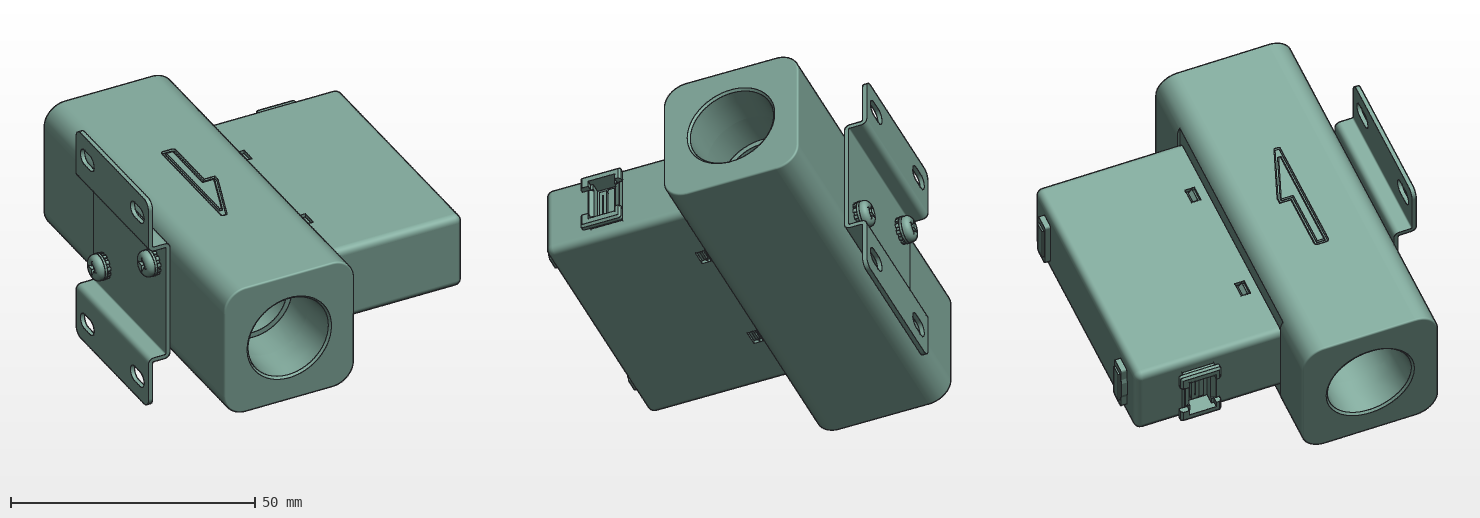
import cadquery as cq
import math

TUBE_LENGTH = 80.0
TUBE_WIDTH = 30.0
TUBE_HEIGHT = 30.2
TUBE_CORNER_RADIUS = 5.0
TUBE_END_ROUNDING = 0.4
TUBE_BACK = TUBE_WIDTH / 2
TUBE_FRONT = -TUBE_WIDTH / 2
TUBE_TOP = TUBE_HEIGHT / 2

BORE_RADIUS = 7.8
PORT_MOUTH_RADIUS = 9.8
PORT_CHAMFER = 0.5
PORT_TAPER_RADIUS = 9.3
PORT_RADIUS = 9.0
PORT_TAPER_DEPTH = 8.8
PORT_DEPTH = 16.0

SEAT_LENGTH = 56.0
SEAT_DEPTH = 0.6

ARROW_HALF_LENGTH = 13.5
ARROW_BOTTOM = -1.8
ARROW_STEM_TOP = 1.4
ARROW_BARB_X = -0.4
ARROW_PEAK_X = 1.0
ARROW_PEAK_Y = 3.9
ARROW_TIP_Y = -0.5
ARROW_ROUNDING = 0.6
ARROW_TIP_ROUNDING = 0.3
ARROW_GROOVE_WIDTH = 0.9
ARROW_ISLAND_TIP_X = 11.3
ARROW_GROOVE_DEPTH = 0.3
ARROW_WALL_SLOPE = 0.2

COVER_LENGTH = 55.0
COVER_HEIGHT = 17.0
COVER_BACK = 46.7
COVER_ROUNDING = 1.5
COVER_FRONT = TUBE_BACK - SEAT_DEPTH

WINDOW_LENGTH = 3.5
WINDOW_WIDTH = 2.1
WINDOW_DEPTH = 0.8
WINDOW_SPACING = 27.0
WINDOW_Y = 17.4
HOOK_LENGTH = 3.0
HOOK_FRONT = 17.0
HOOK_BACK = 17.9

PAD_SPACING = 41.4
PAD_WIDTH = 3.7
PAD_LENGTH = 11.2
PAD_HEIGHT = 1.3
PAD_CORNER_RADIUS = 0.6
PAD_CAP_WIDTH = 2.4
PAD_CAP_LENGTH = 8.2
PAD_TOTAL_HEIGHT = 1.7
PAD_BULGE_WIDTH = 4.2
PAD_BULGE_LENGTH = 5.6
PAD_BULGE_FLAT = 3.7

COVER_LEFT = -COVER_LENGTH / 2
FLANGE_Y = 33.4
SOCKET_Y = 33.0
CONNECTOR_REACH = 2.7
TAIL_DEPTH = 1.6
FLANGE_WIDTH = 9.0
FLANGE_HEIGHT = 13.4
FLANGE_THICKNESS = 1.3
FLANGE_CHAMFER = 0.5
FLANGE_CORNER_RADIUS = 0.6
NECK_WIDTH = 7.0
NECK_HEIGHT = 11.2
SIDE_GAP_HEIGHT = 7.4
LEAD_IN_WIDTH = 6.7
LEAD_IN_DEPTH = 0.5
MOUTH_WIDTH = 5.9
SOCKET_WIDTH = 4.8
SOCKET_HEIGHT = 10.1
SOCKET_DEPTH = 3.7
TONGUE_WIDTH = 1.6
TONGUE_HEIGHT = 6.9
TONGUE_REACH = 1.2
TONGUE_Y = 33.8
TONGUE_SLOT_WIDTH = 0.2
TONGUE_SLOT_HEIGHT = 4.8
TONGUE_SLOT_DEPTH = 0.4
LEDGE_WIDTH = 1.4
LEDGE_HEIGHT = 8.8
LEDGE_REACH = 0.3

BRACKET_WIDTH = 32.0
BRACKET_HEIGHT = 50.0
BRACKET_FRONT = -20.0
SHEET_THICKNESS = 1.0
BEND_INNER_RADIUS = 0.3
BEND_OUTER_RADIUS = BEND_INNER_RADIUS + SHEET_THICKNESS
STEP_INSIDE_Z = 13.0
STEP_OUTSIDE_Z = STEP_INSIDE_Z + SHEET_THICKNESS
BRACKET_CORNER_RADIUS = 2.0
WEB_FRONT = TUBE_FRONT - SHEET_THICKNESS
SLOT_LENGTH = 6.0
SLOT_WIDTH = 3.5
HOLE_X = 11.0
SLOT_Z = 20.0

SCREW_Z = 6.8
HEAD_RADIUS = 2.8
HEAD_HEIGHT = 1.7
HEAD_ROUNDING = 1.2
PLAIN_WASHER_RADIUS = 2.9
PLAIN_WASHER_THICKNESS = 0.6
TOOTHED_WASHER_RADIUS = 2.8
TOOTHED_WASHER_THICKNESS = 0.8
TOOTH_COUNT = 12
TOOTH_GAP = 0.6
TOOTH_DEPTH = 0.5
SHANK_RADIUS = 1.5
SHANK_DEPTH = 4.0
CROSS_TIP_RADIUS = 1.8
CROSS_WAIST_RADIUS = 0.6
CROSS_DEPTH = 1.0
CROSS_FLARE_RADIUS = 1.5
CROSS_FLARE_DEPTH = 0.4
CROSS_POINTS = 4

SCREW_PLACES = [(HOLE_X, SCREW_Z), (-HOLE_X, -SCREW_Z)]


def block(x_range, y_range, z_range):
    """Box between pairs of limits along X, Y and Z."""
    sizes = [high - low for low, high in (x_range, y_range, z_range)]
    middles = [(high + low) / 2 for low, high in (x_range, y_range, z_range)]
    return cq.Workplane("XY").box(*sizes).translate(tuple(middles))


def centred(middle, size):
    """Limits of a length about its middle."""
    return (middle - size / 2, middle + size / 2)


def rod_along_y(radius, x, z, y_front, y_back):
    """Round rod along Y."""
    rod = cq.Workplane("XZ", origin=(x, y_front, z)).circle(radius)
    return rod.extrude(y_front - y_back)


def screw_holes(y_front, y_back):
    """Clearance-free holes for both screw shanks."""
    holes = cq.Workplane("XZ", origin=(0, y_front, 0)).pushPoints(SCREW_PLACES)
    return holes.circle(SHANK_RADIUS).extrude(y_front - y_back)


def port():
    """Chamfered, tapered and stepped port from the -X end to mid-length."""
    end = -TUBE_LENGTH / 2
    outline = [
        (end, 0),
        (end, PORT_MOUTH_RADIUS),
        (end + PORT_CHAMFER, PORT_TAPER_RADIUS),
        (end + PORT_TAPER_DEPTH, PORT_RADIUS),
        (end + PORT_DEPTH, PORT_RADIUS),
        (end + PORT_DEPTH, BORE_RADIUS),
        (0, BORE_RADIUS),
        (0, 0),
    ]
    return cq.Workplane("XY").polyline(outline).close().revolve(360, (0, 0, 0), (1, 0, 0))


def arrow_groove():
    """Half-arrow groove around a flush, blunt-tipped island."""
    outline = [
        (-ARROW_HALF_LENGTH, ARROW_BOTTOM),
        (-ARROW_HALF_LENGTH, ARROW_STEM_TOP),
        (ARROW_BARB_X, ARROW_STEM_TOP),
        (ARROW_BARB_X, ARROW_PEAK_Y),
        (ARROW_PEAK_X, ARROW_PEAK_Y),
        (ARROW_HALF_LENGTH, ARROW_TIP_Y),
        (ARROW_HALF_LENGTH, ARROW_BOTTOM),
    ]
    floor_z = TUBE_TOP - ARROW_GROOVE_DEPTH
    arrow = cq.Workplane("XY", origin=(0, 0, floor_z)).polyline(outline).close()
    pocket = arrow.extrude(ARROW_GROOVE_DEPTH)
    pocket = pocket.edges("|Z and <X").fillet(ARROW_ROUNDING)
    pocket = pocket.edges("|Z and >X").fillet(ARROW_TIP_ROUNDING)
    pocket = pocket.faces("<Z").edges().chamfer(ARROW_WALL_SLOPE)

    foot_offset = ARROW_WALL_SLOPE - ARROW_GROOVE_WIDTH
    arrow = cq.Workplane("XY", origin=(0, 0, floor_z)).polyline(outline).close()
    island = arrow.offset2D(foot_offset, "intersection").extrude(ARROW_GROOVE_DEPTH)
    beyond_tip = block(
        (ARROW_ISLAND_TIP_X, ARROW_HALF_LENGTH),
        (ARROW_BOTTOM, ARROW_PEAK_Y),
        (floor_z, TUBE_TOP),
    )
    island = island.cut(beyond_tip)
    island = island.faces(">Z").edges().chamfer(ARROW_WALL_SLOPE)
    return pocket.cut(island)


def make_tube():
    tube = cq.Workplane("XY").box(TUBE_LENGTH, TUBE_WIDTH, TUBE_HEIGHT)
    tube = tube.edges("|X").fillet(TUBE_CORNER_RADIUS)
    tube = tube.faces("<X or >X").edges().fillet(TUBE_END_ROUNDING)
    tube = tube.cut(port()).cut(port().mirror("YZ"))
    seat = block(
        centred(0, SEAT_LENGTH), (COVER_FRONT, TUBE_BACK), centred(0, TUBE_HEIGHT)
    )
    tube = tube.cut(seat).cut(arrow_groove())
    return tube.cut(screw_holes(TUBE_FRONT, TUBE_FRONT + SHANK_DEPTH))


def snap_window(x):
    """Window in the top of the cover, with a wedge-shaped hook standing in it."""
    top = COVER_HEIGHT / 2
    floor = top - WINDOW_DEPTH
    window = block(centred(x, WINDOW_LENGTH), centred(WINDOW_Y, WINDOW_WIDTH), (floor, top))
    hook = [(HOOK_FRONT, floor), (HOOK_FRONT, top), (HOOK_BACK, floor)]
    hook = cq.Workplane("YZ", origin=(x - HOOK_LENGTH / 2, 0, 0)).polyline(hook).close()
    return window.cut(hook.extrude(HOOK_LENGTH))


def raised_pad(x):
    """Upright pad with a smaller cap, on the back of the cover."""
    base = block(
        centred(x, PAD_WIDTH), (COVER_BACK, COVER_BACK + PAD_HEIGHT), centred(0, PAD_LENGTH)
    )
    base = base.edges("|Y").fillet(PAD_CORNER_RADIUS)
    cap = block(
        centred(x, PAD_CAP_WIDTH),
        (COVER_BACK, COVER_BACK + PAD_TOTAL_HEIGHT),
        centred(0, PAD_CAP_LENGTH),
    )
    return base.union(cap)


def pad_bulge(x):
    """Octagonal widening across the middle of a pad."""
    wide = PAD_BULGE_WIDTH / 2
    narrow = PAD_WIDTH / 2
    long = PAD_BULGE_LENGTH / 2
    short = PAD_BULGE_FLAT / 2
    outline = [
        (wide, short), (narrow, long), (-narrow, long), (-wide, short),
        (-wide, -short), (-narrow, -long), (narrow, -long), (wide, -short),
    ]
    bulge = cq.Workplane("XZ", origin=(x, COVER_BACK, 0)).polyline(outline).close()
    return bulge.extrude(-PAD_HEIGHT)


def connector_neck(outer_face):
    """Connector block from the given outer face to the end of its tail inside the cover."""
    return block(
        (outer_face, COVER_LEFT + TAIL_DEPTH),
        centred(SOCKET_Y, NECK_WIDTH),
        centred(0, NECK_HEIGHT),
    )


def make_cover():
    cover = block(
        centred(0, COVER_LENGTH), (COVER_FRONT, COVER_BACK), centred(0, COVER_HEIGHT)
    )
    cover = cover.edges("|Y or >Y").fillet(COVER_ROUNDING)
    for side in (-1, 1):
        window = snap_window(side * WINDOW_SPACING / 2)
        cover = cover.cut(window).cut(window.mirror("XY"))
        cover = cover.union(raised_pad(side * PAD_SPACING / 2))
    cover = cover.cut(connector_neck(COVER_LEFT))
    return cover.union(pad_bulge(-PAD_SPACING / 2))


def make_connector():
    outer_face = COVER_LEFT - CONNECTOR_REACH
    socket_floor = outer_face + SOCKET_DEPTH
    neck = connector_neck(outer_face)
    flange_back = outer_face + FLANGE_THICKNESS
    flange = block(
        (outer_face, flange_back), centred(FLANGE_Y, FLANGE_WIDTH), centred(0, FLANGE_HEIGHT)
    )
    flange = flange.edges("|X").fillet(FLANGE_CORNER_RADIUS)
    flange = flange.faces("<X").edges().chamfer(FLANGE_CHAMFER)
    gap = block(
        (outer_face, flange_back), centred(FLANGE_Y, FLANGE_WIDTH), centred(0, SIDE_GAP_HEIGHT)
    )
    socket = block(
        (outer_face, socket_floor), centred(SOCKET_Y, SOCKET_WIDTH), centred(0, SOCKET_HEIGHT)
    )
    mouth = block(
        (outer_face, flange_back), centred(SOCKET_Y, MOUTH_WIDTH), centred(0, SOCKET_HEIGHT)
    )
    lead_in_outline = [
        (flange_back, SOCKET_Y + LEAD_IN_WIDTH / 2),
        (flange_back, SOCKET_Y - LEAD_IN_WIDTH / 2),
        (flange_back + LEAD_IN_DEPTH, SOCKET_Y - SOCKET_WIDTH / 2),
        (flange_back + LEAD_IN_DEPTH, SOCKET_Y + SOCKET_WIDTH / 2),
    ]
    lead_in = cq.Workplane("XY", origin=(0, 0, -SIDE_GAP_HEIGHT / 2))
    lead_in = lead_in.polyline(lead_in_outline).close().extrude(SIDE_GAP_HEIGHT)
    connector = neck.union(flange).cut(gap).cut(mouth).cut(lead_in).cut(socket)

    tongue_face = socket_floor - TONGUE_REACH
    tongue = block(
        (tongue_face, socket_floor), centred(TONGUE_Y, TONGUE_WIDTH), centred(0, TONGUE_HEIGHT)
    )
    tongue_slot = block(
        (tongue_face, tongue_face + TONGUE_SLOT_DEPTH),
        centred(TONGUE_Y, TONGUE_SLOT_WIDTH),
        centred(0, TONGUE_SLOT_HEIGHT),
    )
    ledge_back_y = TONGUE_Y - TONGUE_WIDTH / 2
    ledge = block(
        (socket_floor - LEDGE_REACH, socket_floor),
        (ledge_back_y - LEDGE_WIDTH, ledge_back_y),
        centred(0, LEDGE_HEIGHT),
    )
    return connector.union(tongue.cut(tongue_slot)).union(ledge)


def bend_corner(y, z):
    """Selector for the bend edge that runs along X at the given place."""
    reach = BEND_INNER_RADIUS / 2
    low = (-BRACKET_WIDTH, y - reach, z - reach)
    high = (BRACKET_WIDTH, y + reach, z + reach)
    return cq.selectors.BoxSelector(low, high)


def make_bracket():
    flange_back = BRACKET_FRONT + SHEET_THICKNESS
    end = BRACKET_HEIGHT / 2
    upper_half = [
        (TUBE_FRONT, STEP_OUTSIDE_Z),
        (flange_back, STEP_OUTSIDE_Z),
        (flange_back, end),
        (BRACKET_FRONT, end),
        (BRACKET_FRONT, STEP_INSIDE_Z),
        (WEB_FRONT, STEP_INSIDE_Z),
    ]
    lower_half = [(y, -z) for y, z in reversed(upper_half)]
    sheet = cq.Workplane("YZ", origin=(-BRACKET_WIDTH / 2, 0, 0))
    sheet = sheet.polyline(upper_half + lower_half).close().extrude(BRACKET_WIDTH)

    for side in (-1, 1):
        for y, z, radius in (
            (TUBE_FRONT, STEP_OUTSIDE_Z, BEND_OUTER_RADIUS),
            (BRACKET_FRONT, STEP_INSIDE_Z, BEND_OUTER_RADIUS),
            (WEB_FRONT, STEP_INSIDE_Z, BEND_INNER_RADIUS),
            (flange_back, STEP_OUTSIDE_Z, BEND_INNER_RADIUS),
        ):
            sheet = sheet.edges("|X").edges(bend_corner(y, side * z)).fillet(radius)

    sheet = sheet.faces("<Z or >Z").edges("|Y").fillet(BRACKET_CORNER_RADIUS)
    slot_places = [(x, z) for x in (-HOLE_X, HOLE_X) for z in (-SLOT_Z, SLOT_Z)]
    slots = cq.Workplane("XZ", origin=(0, BRACKET_FRONT, 0)).pushPoints(slot_places)
    slots = slots.slot2D(SLOT_LENGTH, SLOT_WIDTH).extrude(-SHEET_THICKNESS)
    return sheet.cut(slots).cut(screw_holes(WEB_FRONT, TUBE_FRONT))


def toothed_washer(x, z):
    """Lock washer with notches around its rim, lying on the bracket."""
    washer_front = WEB_FRONT - TOOTHED_WASHER_THICKNESS
    washer = rod_along_y(TOOTHED_WASHER_RADIUS, x, z, washer_front, WEB_FRONT)
    notches = cq.Workplane("XZ", origin=(x, washer_front, z))
    notches = notches.polarArray(TOOTHED_WASHER_RADIUS, 0, 360, TOOTH_COUNT)
    notches = notches.rect(2 * TOOTH_DEPTH, TOOTH_GAP).extrude(-TOOTHED_WASHER_THICKNESS)
    return washer.cut(notches)


def cross_recess(x, z, head_top):
    """Four-pointed driver recess with a conical flare at its centre."""
    outline = []
    for step in range(2 * CROSS_POINTS):
        radius = CROSS_WAIST_RADIUS if step % 2 else CROSS_TIP_RADIUS
        angle = step * math.pi / CROSS_POINTS
        outline.append((radius * math.cos(angle), radius * math.sin(angle)))
    star = cq.Workplane("XZ", origin=(x, head_top, z)).polyline(outline).close()
    flare = cq.Solid.makeCone(
        CROSS_FLARE_RADIUS, 0, CROSS_FLARE_DEPTH, cq.Vector(x, head_top, z), cq.Vector(0, 1, 0)
    )
    return star.extrude(-CROSS_DEPTH).union(cq.Workplane(flare))


def make_screw(x, z):
    """Pan-head cross-recess screw with its captive washers, pointing along +Y."""
    toothed_front = WEB_FRONT - TOOTHED_WASHER_THICKNESS
    head_seat = toothed_front - PLAIN_WASHER_THICKNESS
    head_top = head_seat - HEAD_HEIGHT
    head = rod_along_y(HEAD_RADIUS, x, z, head_top, head_seat)
    head = head.faces("<Y").edges().fillet(HEAD_ROUNDING)
    plain_washer = rod_along_y(PLAIN_WASHER_RADIUS, x, z, head_seat, toothed_front)
    shank = rod_along_y(SHANK_RADIUS, x, z, WEB_FRONT, TUBE_FRONT + SHANK_DEPTH)
    screw = head.union(plain_washer).union(toothed_washer(x, z)).union(shank)
    return screw.cut(cross_recess(x, z, head_top))


tube = make_tube()
cover = make_cover()
connector = make_connector()
bracket = make_bracket()
screws = [make_screw(x, z) for x, z in SCREW_PLACES]

result = cq.Compound.makeCompound([
    tube.val(),
    cover.val(),
    connector.val(),
    bracket.val(),
    *[screw.val() for screw in screws],
])